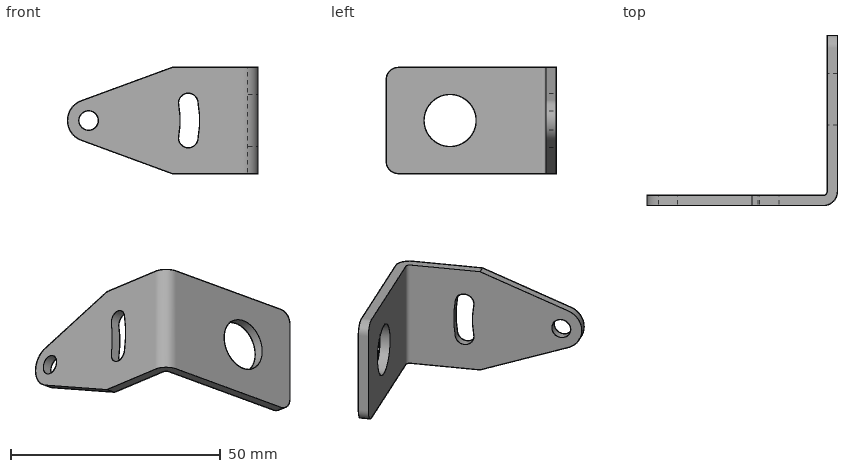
import cadquery as cq
import math

length = 45.45
depth = 40.65
height = 25.4
thickness = 2.5
bend_outer_radius = 3.4
bend_inner_radius = bend_outer_radius - thickness

tip_radius = 5.05
pivot_hole_diameter = 4.6
straight_length = 20.45
slot_path_radius = 24.15
slot_width = 4.6
slot_half_angle = math.radians(10)

flange_corner_radius = 3.0
flange_hole_diameter = 12.35
flange_hole_from_end = 15.3

half_height = height / 2
pivot_x = tip_radius
shoulder_x = length - straight_length


def bent_sheet():
    """L-shaped sheet with a rounded bend, extruded about the mid-plane Z = 0."""
    sheet = (
        cq.Workplane("XY")
        .polyline([
            (0, 0),
            (length, 0),
            (length, depth),
            (length - thickness, depth),
            (length - thickness, thickness),
            (0, thickness),
        ])
        .close()
        .extrude(half_height, both=True)
    )
    inner_edge = cq.selectors.NearestToPointSelector((length - thickness, thickness, 0))
    outer_edge = cq.selectors.NearestToPointSelector((length, 0, 0))
    sheet = sheet.edges("|Z").edges(inner_edge).fillet(bend_inner_radius)
    return sheet.edges("|Z").edges(outer_edge).fillet(bend_outer_radius)


def arm_outline():
    """Arm silhouette: a round tip with tangent sides widening to full height."""
    shoulder_offset = shoulder_x - pivot_x
    shoulder_distance = math.hypot(shoulder_offset, half_height)
    tangent_angle = math.atan2(half_height, shoulder_offset) + math.acos(tip_radius / shoulder_distance)
    tangent_x = pivot_x + tip_radius * math.cos(tangent_angle)
    tangent_z = tip_radius * math.sin(tangent_angle)
    return (
        cq.Workplane("XZ")
        .moveTo(length, -half_height)
        .lineTo(length, half_height)
        .lineTo(shoulder_x, half_height)
        .lineTo(tangent_x, tangent_z)
        .threePointArc((0, 0), (tangent_x, -tangent_z))
        .lineTo(shoulder_x, -half_height)
        .close()
        .extrude(-depth)
    )


def pivot_hole():
    return cq.Workplane("XZ").center(pivot_x, 0).circle(pivot_hole_diameter / 2).extrude(-thickness)


def curved_slot():
    """Round-ended slot following an arc centred on the pivot hole."""
    inner_radius = slot_path_radius - slot_width / 2
    outer_radius = slot_path_radius + slot_width / 2
    end_turn = slot_width / 2

    def slot_point(radius, angle, past_end=0):
        x = radius * math.cos(angle) - past_end * math.sin(angle)
        z = radius * math.sin(angle) + past_end * math.cos(angle)
        return (x, z)

    top = slot_half_angle
    bottom = -slot_half_angle
    return (
        cq.Workplane("XZ")
        .center(pivot_x, 0)
        .moveTo(*slot_point(outer_radius, bottom))
        .threePointArc((outer_radius, 0), slot_point(outer_radius, top))
        .threePointArc(slot_point(slot_path_radius, top, end_turn), slot_point(inner_radius, top))
        .threePointArc((inner_radius, 0), slot_point(inner_radius, bottom))
        .threePointArc(slot_point(slot_path_radius, bottom, -end_turn), slot_point(outer_radius, bottom))
        .close()
        .extrude(-thickness)
    )


def flange_hole():
    return (
        cq.Workplane("YZ", origin=(length - thickness, 0, 0))
        .center(depth - flange_hole_from_end, 0)
        .circle(flange_hole_diameter / 2)
        .extrude(thickness)
    )


bracket = bent_sheet().faces(">Y").edges("|X").fillet(flange_corner_radius)
bracket = bracket.intersect(arm_outline())
result = bracket.cut(pivot_hole()).cut(curved_slot()).cut(flange_hole())